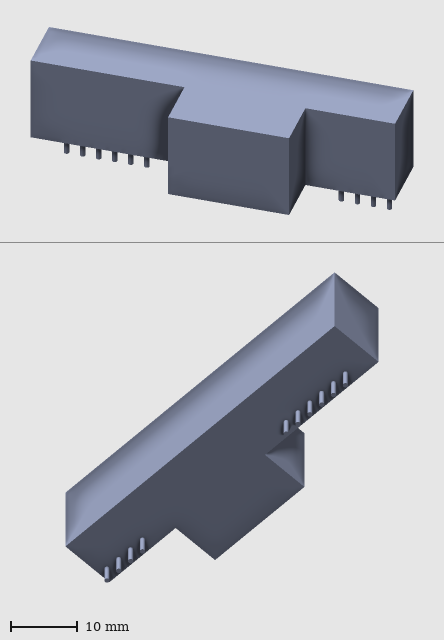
import cadquery as cq

length = 57.3
total_depth = 17.7
total_height = 17.0

body_height = 14.0
housing_depth = 9.35
block_start = 24.2
block_width = 19.0
block_depth = total_depth - housing_depth

pin_diameter = 0.8
pin_length = total_height - body_height
pin_pitch = 2.5
pin_row_y = housing_depth - 7.35
left_pin_start = 5.05
left_pin_count = 6
right_pin_start = 48.25
right_pin_count = 4


def box_from_corner(x, y, width, depth):
    """Box of the body height with its lower corner at (x, y, 0)."""
    return cq.Workplane("XY").box(width, depth, body_height, centered=False).translate((x, y, 0))


def pin_group(start_x, count):
    """Evenly spaced pins pointing down from the underside."""
    centres = [(start_x + i * pin_pitch, pin_row_y) for i in range(count)]
    return cq.Workplane("XY").pushPoints(centres).circle(pin_diameter / 2).extrude(-pin_length)


housing = box_from_corner(0, 0, length, housing_depth)
block = box_from_corner(block_start, -block_depth, block_width, block_depth)

result = (
    housing.union(block)
    .union(pin_group(left_pin_start, left_pin_count))
    .union(pin_group(right_pin_start, right_pin_count))
)